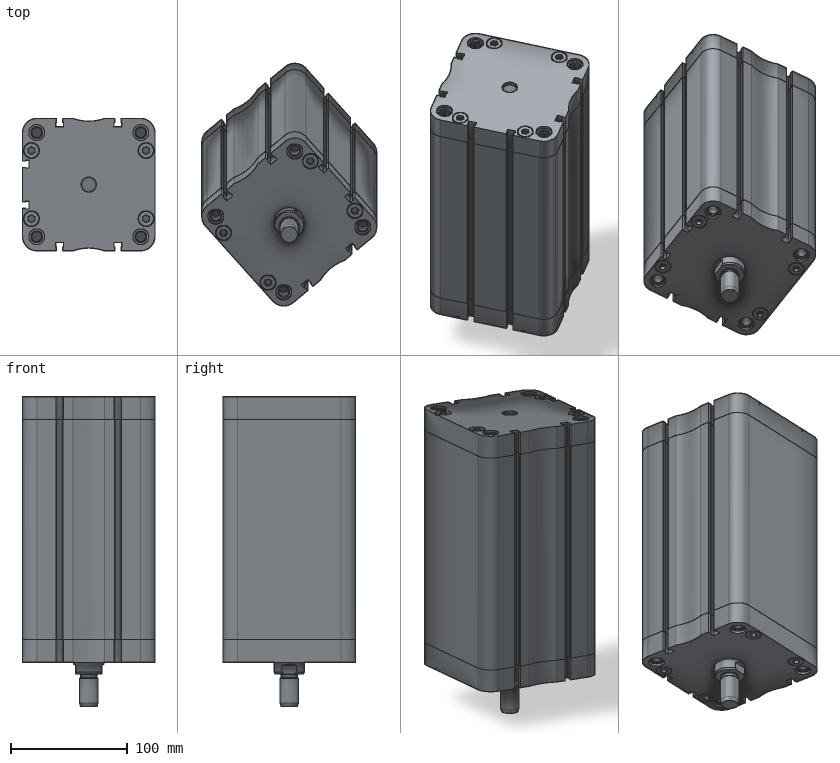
import cadquery as cq
import math


SIDE = 113.5
HALF_SIDE = SIDE / 2
CORNER_RADIUS = 12.5
WAIST_HALF_WIDTH = 13.5
WAIST_DEPTH = 2.5

TOTAL_LENGTH = 265.0
HOUSING_LENGTH = 227.0
CAP_LENGTH = 19.3
BARREL_LENGTH = HOUSING_LENGTH - 2 * CAP_LENGTH

SLOT_OPENING = 5.3
CAP_SLOT_CLEARANCE = 0.3
SLOT_INNER_WIDTH = 6.4
SLOT_DEPTH = 7.2
SLOT_LIP = 3.5
SLOT_OFFSET_X = 25.0
SIDE_SLOT_DEPTH = 5.5
SIDE_SLOT_LIP = 2.6
SIDE_SLOT_OFFSET_Y = 17.5
SLOT_EDGE_CHAMFER = 0.4

MOUNT_OFFSET = 44.5
MOUNT_COUNTERBORE_DIAMETER = 13.5
MOUNT_COUNTERBORE_DEPTH = 2.5
MOUNT_MOUTH_DIAMETER = 10.0
MOUNT_CORE_DIAMETER = 8.5
MOUNT_DEPTH = 16.0

SCREW_OFFSET_X = 49.0
SCREW_OFFSET_Y = 29.2
SCREW_BORE_DIAMETER = 13.5
SCREW_HEAD_DIAMETER = 12.7
SCREW_GAP_DEPTH = 1.3
SOCKET_ACROSS_FLATS = 5.8
SOCKET_DEPTH = 4.0

CENTRE_RECESS_DIAMETER = 12.7
CENTRE_RECESS_CHAMFER = 0.13
CENTRE_RECESS_DEPTH = 3.2

ROD_DIAMETER = 25.7
ROD_EXTENSION = 10.0
ROD_END_CHAMFER = 0.8
ROD_END_CHAMFER_LENGTH = 1.5
ROD_ACROSS_FLATS = 22.5
FLAT_START = 3.0
STUD_DIAMETER = 16.0
STUD_TIP_DIAMETER = 14.0
NECK_LENGTH = 3.0
NECK_CHAMFER = 0.5
STUD_TIP_CHAMFER_LENGTH = 3.2
STUD_SHOULDER = (STUD_DIAMETER - STUD_TIP_DIAMETER) / 2


def mirrored_points(x, y):
    """The four points at (+-x, +-y)."""
    return [(sx * x, sy * y) for sx in (-1, 1) for sy in (-1, 1)]


def slot_profile(depth, lip, clearance, edge_chamfer):
    """Flat T-slot face with its mouth at the origin, reaching down to -Y."""
    half_opening = SLOT_OPENING / 2 + clearance
    half_inner = SLOT_INNER_WIDTH / 2 + clearance
    bottom = -depth - clearance
    right_side = [
        (half_opening + edge_chamfer, 0),
        (half_opening, -edge_chamfer),
        (half_opening, -lip),
        (half_inner, -lip),
        (half_inner, bottom),
    ]
    if edge_chamfer == 0:
        right_side = right_side[1:]
    left_side = [(-x, y) for x, y in reversed(right_side)]
    return cq.Workplane("XY").polyline(right_side + left_side).close()


def profile_block(length, clearance=0, slot_edge_chamfer=0):
    """Length of the housing profile, from Z = 0 upward, with its hollows and slots."""
    block = cq.Workplane("XY").rect(SIDE, SIDE).extrude(length)
    block = block.edges("|Z").fillet(CORNER_RADIUS)

    slot = slot_profile(SLOT_DEPTH, SLOT_LIP, clearance, slot_edge_chamfer).extrude(length)
    side_slot = slot_profile(SIDE_SLOT_DEPTH, SIDE_SLOT_LIP, clearance, slot_edge_chamfer).extrude(length)
    waist = (
        cq.Workplane("XY")
        .moveTo(-WAIST_HALF_WIDTH, HALF_SIDE)
        .threePointArc((0, HALF_SIDE - WAIST_DEPTH), (WAIST_HALF_WIDTH, HALF_SIDE))
        .close()
        .extrude(length)
    )

    for face_angle in (0, 180):
        block = block.cut(waist.rotate((0, 0, 0), (0, 0, 1), face_angle))
        for x in (-SLOT_OFFSET_X, SLOT_OFFSET_X):
            placed = slot.translate((x, HALF_SIDE, 0))
            block = block.cut(placed.rotate((0, 0, 0), (0, 0, 1), face_angle))
    for y in (-SIDE_SLOT_OFFSET_Y, SIDE_SLOT_OFFSET_Y):
        turned = side_slot.rotate((0, 0, 0), (0, 0, 1), 90)
        block = block.cut(turned.translate((-HALF_SIDE, y, 0)))
    return block


def mount_hole_cutter():
    """Counterbored and countersunk blind hole, from Z = 0 downward."""
    mouth_radius = MOUNT_MOUTH_DIAMETER / 2
    core_radius = MOUNT_CORE_DIAMETER / 2
    counterbore_radius = MOUNT_COUNTERBORE_DIAMETER / 2
    countersink_bottom = -MOUNT_COUNTERBORE_DEPTH - (mouth_radius - core_radius)
    outline = [
        (0, 0),
        (counterbore_radius, 0),
        (counterbore_radius, -MOUNT_COUNTERBORE_DEPTH),
        (mouth_radius, -MOUNT_COUNTERBORE_DEPTH),
        (core_radius, countersink_bottom),
        (core_radius, -MOUNT_DEPTH),
        (0, -MOUNT_DEPTH),
    ]
    return cq.Workplane("XZ").polyline(outline).close().revolve(360, (0, 0), (0, 1))


def screw_cutter():
    """Ring gap around a screw head and its hexagon socket, from Z = 0 downward."""
    gap = (
        cq.Workplane("XY")
        .circle(SCREW_BORE_DIAMETER / 2)
        .circle(SCREW_HEAD_DIAMETER / 2)
        .extrude(-SCREW_GAP_DEPTH)
    )
    across_corners = SOCKET_ACROSS_FLATS / math.cos(math.pi / 6)
    socket = cq.Workplane("XY").polygon(6, across_corners).extrude(-SOCKET_DEPTH)
    return gap.add(socket.rotate((0, 0, 0), (0, 0, 1), 90)).combine()


def make_cap():
    """End cap with its outer face at the top, Z = CAP_LENGTH."""
    cap = profile_block(CAP_LENGTH, clearance=CAP_SLOT_CLEARANCE)
    hole = mount_hole_cutter()
    for x, y in mirrored_points(MOUNT_OFFSET, MOUNT_OFFSET):
        cap = cap.cut(hole.translate((x, y, CAP_LENGTH)))
    screw = screw_cutter()
    for x, y in mirrored_points(SCREW_OFFSET_X, SCREW_OFFSET_Y):
        cap = cap.cut(screw.translate((x, y, CAP_LENGTH)))
    return cap


def make_top_cap():
    """Closed cap with a centring recess."""
    recess = (
        cq.Workplane("XY", origin=(0, 0, CAP_LENGTH))
        .circle(CENTRE_RECESS_DIAMETER / 2)
        .extrude(-CENTRE_RECESS_DEPTH)
    )
    chamfer = (
        cq.Workplane("XY", origin=(0, 0, CAP_LENGTH))
        .circle(CENTRE_RECESS_DIAMETER / 2 + CENTRE_RECESS_CHAMFER)
        .extrude(-CENTRE_RECESS_CHAMFER, taper=45)
    )
    return make_cap().cut(recess).cut(chamfer).translate((0, 0, HOUSING_LENGTH - CAP_LENGTH))


def make_bottom_cap():
    """Cap facing down, with a through bore for the rod."""
    bore = cq.Workplane("XY").circle(ROD_DIAMETER / 2).extrude(CAP_LENGTH)
    facing_down = make_cap().mirror("XY").translate((0, 0, CAP_LENGTH))
    return facing_down.cut(bore)


def make_barrel():
    """Profile tube between the two caps."""
    return profile_block(BARREL_LENGTH, slot_edge_chamfer=SLOT_EDGE_CHAMFER).translate((0, 0, CAP_LENGTH))


def make_rod():
    """Rod with two wrench flats and a necked stud, reaching up to the barrel."""
    rod_radius = ROD_DIAMETER / 2
    stud_radius = STUD_DIAMETER / 2
    tip_radius = STUD_TIP_DIAMETER / 2
    stud_end = HOUSING_LENGTH - TOTAL_LENGTH
    neck_end = -ROD_EXTENSION - NECK_LENGTH
    outline = [
        (0, CAP_LENGTH),
        (rod_radius, CAP_LENGTH),
        (rod_radius, -ROD_EXTENSION + ROD_END_CHAMFER_LENGTH),
        (rod_radius - ROD_END_CHAMFER, -ROD_EXTENSION),
        (tip_radius + NECK_CHAMFER, -ROD_EXTENSION),
        (tip_radius, -ROD_EXTENSION - NECK_CHAMFER),
        (tip_radius, neck_end),
        (stud_radius, neck_end - STUD_SHOULDER),
        (stud_radius, stud_end + STUD_TIP_CHAMFER_LENGTH),
        (tip_radius, stud_end),
        (0, stud_end),
    ]
    rod = cq.Workplane("XZ").polyline(outline).close().revolve(360, (0, 0), (0, 1))

    flat = ROD_ACROSS_FLATS / 2
    runout = rod_radius - flat
    flat_outline = [
        (flat, -ROD_EXTENSION),
        (flat, -FLAT_START),
        (rod_radius, -FLAT_START + runout),
        (rod_radius, -ROD_EXTENSION),
    ]
    flat_cutter = cq.Workplane("XZ").polyline(flat_outline).close().extrude(rod_radius, both=True)
    return rod.cut(flat_cutter).cut(flat_cutter.mirror("YZ"))


barrel = make_barrel()
top_cap = make_top_cap()
bottom_cap = make_bottom_cap()
rod = make_rod()

result = cq.Compound.makeCompound([barrel.val(), top_cap.val(), bottom_cap.val(), rod.val()])